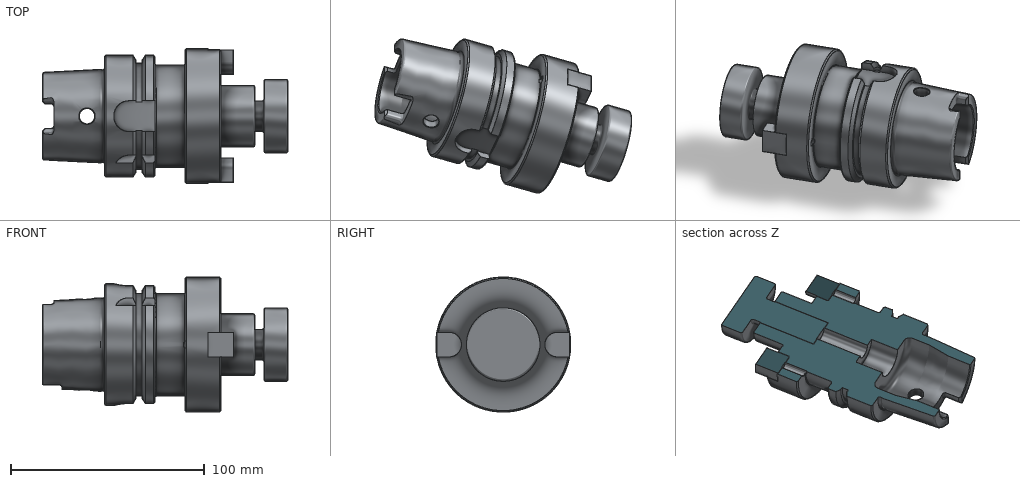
import cadquery as cq


TAPER_END_X = 29.9
FACE_X = 31.9
GROOVE_START_X = 46.6
GROOVE_FLOOR_START_X = 48.1
GROOVE_FLOOR_END_X = 51.4
GROOVE_END_X = 53.1
GRIPPER_END_X = 58.0
COLLAR_START_X = 73.6
COLLAR_END_X = 92.1
SPIGOT_END_X = 109.6
OVERALL_LENGTH = 126.7

TAPER_SLOPE = 1 / 20
TAPER_MOUTH_R = 22.7
TAPER_END_R = TAPER_MOUTH_R + TAPER_SLOPE * TAPER_END_X
GRIPPER_R = 63.0 / 2
GROOVE_EDGE_R = 29.0
GROOVE_FLOOR_R = 27.5
NECK_R = 26.5
COLLAR_R = 69.8 / 2
SPIGOT_R = 16.0

MOUTH_ROUND = 1.0
EDGE_CHAMFER = 0.8
NECK_ROUND = 0.8
COLLAR_ROUND = 0.4
SCREW_ROUND = 1.0

UNDERCUT_X = 30.8
UNDERCUT_R = 24.0
UNDERCUT_ROUND = 1.1
UNDERCUT_ROUND_END_R = 25.0
UNDERCUT_DEPTH = 0.1
UNDERCUT_OUTER_R = 25.5

BORE_R = 34.0 / 2
BORE_CHAMFER = 0.5
BORE_STRAIGHT_END_X = 12.8
BORE_CONE_END_X = 25.0
BORE_FLOOR_X = 38.0
CHAMBER_R = 19.0
CHAMBER_ROUND = 3.2
TUBE_RECESS_R = 17.0 / 2
TUBE_RECESS_END_X = 53.2
COOLANT_R = 8.0 / 2
CROSS_HOLE_X = 22.9
CROSS_HOLE_D = 8.0
CROSS_HOLE_CHAMFER = 0.3

NOTCH_HALF_WIDTH = 6.3
TOP_NOTCH_DEPTH = 5.8
BOTTOM_NOTCH_DEPTH = 10.0
NOTCH_FLARE_Z = 18.1
NOTCH_FLARE_R = 2.7
NOTCH_FLOOR_ROUND = 1.5
NOTCH_CHAMFER = 1.3
SELECTION_MARGIN = 0.1

SLOT_R = 8.0
SLOT_CENTRE_X = 44.7
SLOT_FLOOR_Z = NECK_R
INDEX_NOTCH_OFFSET = 20.1

KEY_START_X = 85.5
KEY_END_X = 98.5
KEY_HALF_WIDTH = 6.3
KEY_CENTRE_Y = 27.9
KEY_OUTER_Y = 34.2
KEY_HOLE_D = 3.7
KEY_HOLE_END_X = 72.7

SCREW_R = 15.8 / 2
SCREW_TIP_X = 78.5
HEAD_START_X = 114.4
HEAD_R = 19.0


def revolve_about_x(profile):
    """Close a half profile along the axis and turn it into a solid."""
    return profile.close().revolve(360, (0, 0, 0), (1, 0, 0))


def make_holder_blank():
    undercut_floor_x = FACE_X + UNDERCUT_DEPTH
    profile = (
        cq.Workplane("XY")
        .lineTo(0, TAPER_MOUTH_R - MOUTH_ROUND)
        .radiusArc((MOUTH_ROUND, TAPER_MOUTH_R), MOUTH_ROUND)
        .lineTo(TAPER_END_X, TAPER_END_R)
        .lineTo(UNDERCUT_X, UNDERCUT_R)
        .radiusArc((undercut_floor_x, UNDERCUT_ROUND_END_R), -UNDERCUT_ROUND)
        .lineTo(FACE_X, UNDERCUT_OUTER_R)
        .lineTo(FACE_X, GRIPPER_R - EDGE_CHAMFER)
        .lineTo(FACE_X + EDGE_CHAMFER, GRIPPER_R)
        .lineTo(GROOVE_START_X, GRIPPER_R)
        .lineTo(GROOVE_FLOOR_START_X, GROOVE_EDGE_R)
        .lineTo(GROOVE_FLOOR_START_X, GROOVE_FLOOR_R)
        .lineTo(GROOVE_FLOOR_END_X, GROOVE_FLOOR_R)
        .lineTo(GROOVE_FLOOR_END_X, GROOVE_EDGE_R)
        .lineTo(GROOVE_END_X, GRIPPER_R)
        .lineTo(GRIPPER_END_X - EDGE_CHAMFER, GRIPPER_R)
        .lineTo(GRIPPER_END_X, GRIPPER_R - EDGE_CHAMFER)
        .lineTo(GRIPPER_END_X, NECK_R + NECK_ROUND)
        .radiusArc((GRIPPER_END_X + NECK_ROUND, NECK_R), -NECK_ROUND)
        .lineTo(COLLAR_START_X - COLLAR_ROUND, NECK_R)
        .radiusArc((COLLAR_START_X, NECK_R + COLLAR_ROUND), -COLLAR_ROUND)
        .lineTo(COLLAR_START_X, COLLAR_R - EDGE_CHAMFER)
        .lineTo(COLLAR_START_X + EDGE_CHAMFER, COLLAR_R)
        .lineTo(COLLAR_END_X - EDGE_CHAMFER, COLLAR_R)
        .lineTo(COLLAR_END_X, COLLAR_R - EDGE_CHAMFER)
        .lineTo(COLLAR_END_X, SPIGOT_R)
        .lineTo(SPIGOT_END_X - SCREW_ROUND, SPIGOT_R)
        .radiusArc((SPIGOT_END_X, SPIGOT_R - SCREW_ROUND), SCREW_ROUND)
        .lineTo(SPIGOT_END_X, 0)
    )
    return revolve_about_x(profile)


def make_bore():
    """Stepped cavity from the taper mouth through to the spigot end."""
    profile = (
        cq.Workplane("XY")
        .lineTo(0, BORE_R + BORE_CHAMFER)
        .lineTo(BORE_CHAMFER, BORE_R)
        .lineTo(BORE_STRAIGHT_END_X, BORE_R)
        .lineTo(BORE_CONE_END_X, CHAMBER_R)
        .lineTo(BORE_FLOOR_X - CHAMBER_ROUND, CHAMBER_R)
        .radiusArc((BORE_FLOOR_X, CHAMBER_R - CHAMBER_ROUND), CHAMBER_ROUND)
        .lineTo(BORE_FLOOR_X, TUBE_RECESS_R)
        .lineTo(TUBE_RECESS_END_X, TUBE_RECESS_R)
        .lineTo(TUBE_RECESS_END_X, COOLANT_R)
        .lineTo(SCREW_TIP_X, COOLANT_R)
        .lineTo(SCREW_TIP_X, SCREW_R)
        .lineTo(SPIGOT_END_X, SCREW_R)
        .lineTo(SPIGOT_END_X, 0)
    )
    return revolve_about_x(profile)


def make_drive_notch(depth):
    """Cutter for the notch on the +Z side: flared sides, rounded floor edges, chamfered entry."""
    flare_y = NOTCH_HALF_WIDTH + NOTCH_FLARE_R
    flare_z = NOTCH_FLARE_Z + NOTCH_FLARE_R
    slot = (
        cq.Workplane("YZ")
        .moveTo(-NOTCH_HALF_WIDTH, 0)
        .lineTo(-NOTCH_HALF_WIDTH, NOTCH_FLARE_Z)
        .radiusArc((-flare_y, flare_z), -NOTCH_FLARE_R)
        .lineTo(-TAPER_END_R, flare_z)
        .lineTo(-TAPER_END_R, TAPER_END_R)
        .lineTo(TAPER_END_R, TAPER_END_R)
        .lineTo(TAPER_END_R, flare_z)
        .lineTo(flare_y, flare_z)
        .radiusArc((NOTCH_HALF_WIDTH, NOTCH_FLARE_Z), -NOTCH_FLARE_R)
        .lineTo(NOTCH_HALF_WIDTH, 0)
        .close()
        .extrude(depth)
    )
    floor_sides = cq.selectors.BoxSelector(
        (depth - SELECTION_MARGIN, -TAPER_END_R + SELECTION_MARGIN, SELECTION_MARGIN),
        (depth + SELECTION_MARGIN, TAPER_END_R - SELECTION_MARGIN, flare_z + SELECTION_MARGIN),
    )
    slot = slot.edges(floor_sides).fillet(NOTCH_FLOOR_ROUND)
    entry = (
        cq.Workplane("XY")
        .moveTo(0, -NOTCH_HALF_WIDTH - NOTCH_CHAMFER)
        .lineTo(NOTCH_CHAMFER, -NOTCH_HALF_WIDTH)
        .lineTo(NOTCH_CHAMFER, NOTCH_HALF_WIDTH)
        .lineTo(0, NOTCH_HALF_WIDTH + NOTCH_CHAMFER)
        .close()
        .extrude(flare_z)
    )
    return slot.union(entry)


def make_flange_slot(centre_y, floor_z):
    """Cutter for a round-ended slot milled down to floor_z and open at the +X side of the flange."""
    straight = GRIPPER_END_X - SLOT_CENTRE_X
    height = COLLAR_R - floor_z
    round_end = cq.Workplane("XY", (SLOT_CENTRE_X, centre_y, floor_z)).circle(SLOT_R).extrude(height)
    run = (
        cq.Workplane("XY", (SLOT_CENTRE_X + straight / 2, centre_y, floor_z))
        .rect(straight, 2 * SLOT_R)
        .extrude(height)
    )
    return round_end.union(run)


def make_key(side, outer_y):
    """Key or key seat with a rounded inner end and a flat outer end; side is +1 or -1 along Y."""
    return (
        cq.Workplane("YZ", (KEY_START_X, 0, 0))
        .moveTo(side * outer_y, -KEY_HALF_WIDTH)
        .lineTo(side * KEY_CENTRE_Y, -KEY_HALF_WIDTH)
        .threePointArc(
            (side * (KEY_CENTRE_Y - KEY_HALF_WIDTH), 0),
            (side * KEY_CENTRE_Y, KEY_HALF_WIDTH),
        )
        .lineTo(side * outer_y, KEY_HALF_WIDTH)
        .close()
        .extrude(KEY_END_X - KEY_START_X)
    )


def make_key_hole(side):
    """Hole from the key seat to the back of the collar, where it grazes the neck."""
    return (
        cq.Workplane("YZ", (KEY_HOLE_END_X, side * KEY_CENTRE_Y, 0))
        .circle(KEY_HOLE_D / 2)
        .extrude(KEY_START_X - KEY_HOLE_END_X)
    )


def drill_cross_hole(body):
    """Drill through both walls of the taper along Z and chamfer the outer rims."""
    hole = cq.Workplane("XY", (CROSS_HOLE_X, 0, 0)).circle(CROSS_HOLE_D / 2).extrude(GRIPPER_R, both=True)
    body = body.cut(hole)
    reach = CROSS_HOLE_D / 4
    for side in (1, -1):
        rim_z = side * TAPER_END_R
        rim = cq.selectors.BoxSelector(
            (CROSS_HOLE_X - reach, -reach, rim_z - reach),
            (CROSS_HOLE_X + reach, reach, rim_z + reach),
        )
        body = body.edges(rim).chamfer(CROSS_HOLE_CHAMFER)
    return body


def make_holder():
    body = make_holder_blank().cut(make_bore())
    body = drill_cross_hole(body)

    top_notch = make_drive_notch(TOP_NOTCH_DEPTH)
    bottom_notch = make_drive_notch(BOTTOM_NOTCH_DEPTH).rotate((0, 0, 0), (1, 0, 0), 180)
    body = body.cut(top_notch).cut(bottom_notch)

    top_slot = make_flange_slot(0, SLOT_FLOOR_Z)
    bottom_slot = top_slot.rotate((0, 0, 0), (1, 0, 0), 180)
    index_notch = make_flange_slot(-INDEX_NOTCH_OFFSET - SLOT_R, INDEX_NOTCH_OFFSET)
    body = body.cut(top_slot).cut(bottom_slot).cut(index_notch)

    for side in (1, -1):
        body = body.cut(make_key(side, COLLAR_R)).cut(make_key_hole(side))
    return body


def make_clamping_screw():
    profile = (
        cq.Workplane("XY")
        .moveTo(SCREW_TIP_X, 0)
        .lineTo(SCREW_TIP_X, SCREW_R)
        .lineTo(HEAD_START_X - SCREW_ROUND, SCREW_R)
        .radiusArc((HEAD_START_X, SCREW_R + SCREW_ROUND), -SCREW_ROUND)
        .lineTo(HEAD_START_X, HEAD_R - SCREW_ROUND)
        .radiusArc((HEAD_START_X + SCREW_ROUND, HEAD_R), SCREW_ROUND)
        .lineTo(OVERALL_LENGTH - SCREW_ROUND, HEAD_R)
        .radiusArc((OVERALL_LENGTH, HEAD_R - SCREW_ROUND), SCREW_ROUND)
        .lineTo(OVERALL_LENGTH, 0)
    )
    return revolve_about_x(profile)


holder = make_holder()
keys = [make_key(side, KEY_OUTER_Y) for side in (1, -1)]
clamping_screw = make_clamping_screw()

result = cq.Compound.makeCompound(
    [holder.val(), *[key.val() for key in keys], clamping_screw.val()]
)